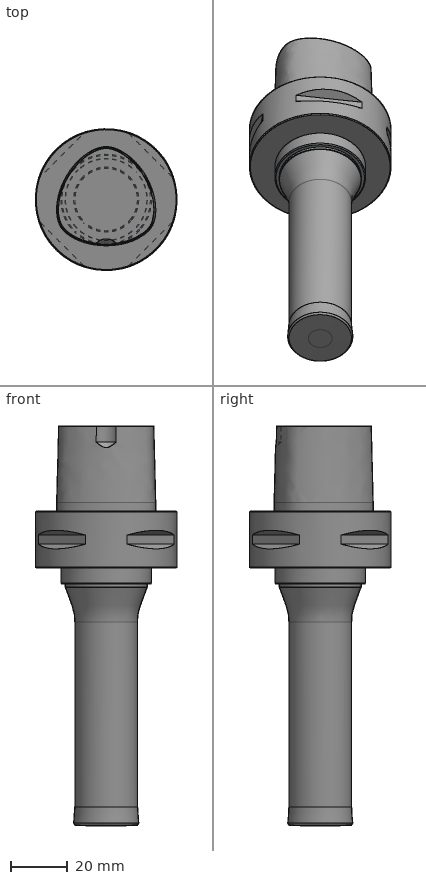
import cadquery as cq
import math


shank_length = 30.0
shank_base_width = 35.0
shank_lobe_height = 1.2
shank_straight_length = 3.0
shank_taper = 1 / 20
profile_points = 48

notch_radius = 4.5
notch_axis_y = -18.3
notch_depth = 5.6
notch_tip_height = 4.4

flange_diameter = 50.0
flange_thickness = 20.0
flange_chamfer = 0.35

groove_count = 4
groove_first_angle = 45.0
groove_depth = 2.9
groove_floor_width = 3.2
groove_side_angle = 30.0

spigot_diameter = 32.0
spigot_length = 5.7
spigot_chamfer = 0.4
collar_diameter = 29.0
collar_length = 1.1
collar_chamfer = 0.15
neck_length = 12.2
neck_cone_start = 0.7
neck_cone_end = 9.6
neck_cone_inset = 0.15

stem_diameter = 22.2
stem_length = 65.2
head_diameter = 23.0
head_flare_length = 5.75
head_chamfer = 0.5
head_face_height = 0.3
head_flat_diameter = 8.4
overall_length = 141.0

flange_bottom = -flange_thickness
spigot_bottom = flange_bottom - spigot_length
collar_bottom = spigot_bottom - collar_length
stem_top = collar_bottom - neck_length
stem_bottom = stem_top - stem_length
head_flare_bottom = stem_bottom - head_flare_length
head_bottom = shank_length - overall_length


def shank_wire(level):
    """Three-lobed constant-width outline at the given height."""
    width = shank_base_width - shank_taper * max(0.0, level - shank_straight_length)

    def outline_point(turn):
        angle = 2 * math.pi * turn
        support = width / 2 - shank_lobe_height * math.sin(3 * angle)
        support_slope = -3 * shank_lobe_height * math.cos(3 * angle)
        x = support * math.cos(angle) - support_slope * math.sin(angle)
        y = support * math.sin(angle) + support_slope * math.cos(angle)
        return cq.Vector(x, y, level)

    points = [outline_point(i / profile_points) for i in range(profile_points)]
    return cq.Wire.assembleEdges([cq.Edge.makeSpline(points, periodic=True)])


def make_shank():
    foot = cq.Solid.makeLoft([shank_wire(0), shank_wire(shank_straight_length)], True)
    taper = cq.Solid.makeLoft([shank_wire(shank_straight_length), shank_wire(shank_length)], True)
    return cq.Workplane(foot).union(cq.Workplane(taper)).cut(make_notch())


def make_notch():
    tip_start = shank_length - notch_depth
    return (
        cq.Workplane("XZ", origin=(0, notch_axis_y, 0))
        .moveTo(0, shank_length)
        .lineTo(notch_radius, shank_length)
        .lineTo(notch_radius, tip_start)
        .lineTo(0, tip_start - notch_tip_height)
        .close()
        .revolve()
    )


def make_flange():
    flange = (
        cq.Workplane("XY")
        .circle(flange_diameter / 2)
        .extrude(-flange_thickness)
        .edges()
        .chamfer(flange_chamfer)
    )
    for i in range(groove_count):
        flange = flange.cut(make_groove(groove_first_angle + i * 360 / groove_count))
    return flange


def make_groove(angle):
    """Trapezoidal groove, opening outwards, halfway up the flange."""
    rim = flange_diameter / 2
    half_floor = groove_floor_width / 2
    half_mouth = half_floor + groove_depth * math.tan(math.radians(groove_side_angle))
    return (
        cq.Workplane("XZ", origin=(0, 0, -flange_thickness / 2))
        .moveTo(rim - groove_depth, -half_floor)
        .lineTo(rim, -half_mouth)
        .lineTo(rim, half_mouth)
        .lineTo(rim - groove_depth, half_floor)
        .close()
        .extrude(flange_diameter / 2, both=True)
        .rotate((0, 0, 0), (0, 0, 1), angle)
    )


def make_stem():
    """Spigot, collar, S-shaped neck and plain stem, turned about Z."""
    spigot_radius = spigot_diameter / 2
    collar_radius = collar_diameter / 2
    stem_radius = stem_diameter / 2
    down = (0, -1)
    return (
        cq.Workplane("XZ")
        .moveTo(0, flange_bottom)
        .lineTo(spigot_radius, flange_bottom)
        .lineTo(spigot_radius, spigot_bottom + spigot_chamfer)
        .lineTo(spigot_radius - spigot_chamfer, spigot_bottom)
        .lineTo(collar_radius, spigot_bottom)
        .lineTo(collar_radius, collar_bottom + collar_chamfer)
        .lineTo(collar_radius - collar_chamfer, collar_bottom)
        .spline(
            [
                (collar_radius - collar_chamfer - neck_cone_inset, collar_bottom - neck_cone_start),
                (stem_radius + neck_cone_inset, collar_bottom - neck_cone_end),
                (stem_radius, stem_top),
            ],
            tangents=[down, down],
            includeCurrent=True,
        )
        .lineTo(stem_radius, stem_bottom)
        .lineTo(0, stem_bottom)
        .close()
        .revolve()
    )


def make_head():
    """Slightly flared head with a chamfered rim and a shallow conical end face."""
    head_radius = head_diameter / 2
    return (
        cq.Workplane("XZ")
        .moveTo(0, stem_bottom)
        .lineTo(stem_diameter / 2, stem_bottom)
        .lineTo(head_radius, head_flare_bottom)
        .lineTo(head_radius - head_chamfer, head_bottom + head_face_height)
        .lineTo(head_flat_diameter / 2, head_bottom)
        .lineTo(0, head_bottom)
        .close()
        .revolve()
    )


holder = make_shank().union(make_flange()).union(make_stem())
head = make_head()

result = cq.Compound.makeCompound([holder.val(), head.val()])